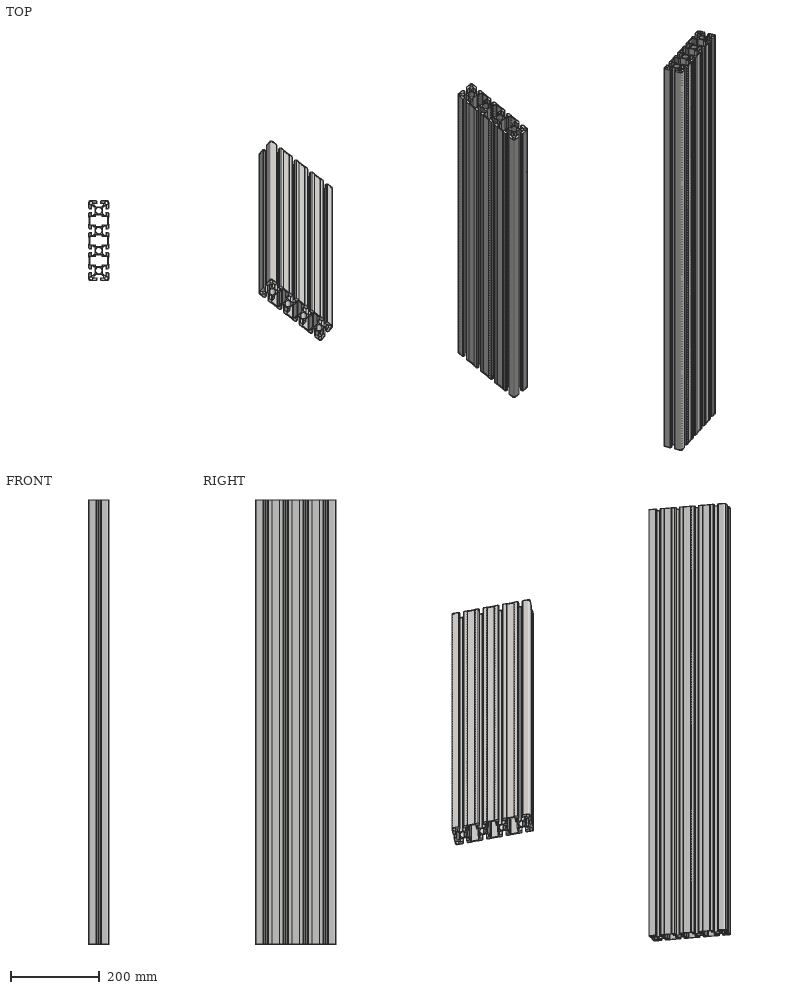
import cadquery as cq

MODULE = 45.0
MODULE_COUNT = 4
LENGTH = 1000.0
WIDTH = MODULE
HEIGHT = MODULE * MODULE_COUNT
CORNER_RADIUS = 4.0

SLOT_HALF_OPENING = 4.2
LIP_CHAMFER_WIDTH = 2.0
LIP_CHAMFER_DEPTH = 1.9
LIP_THICKNESS = 6.0
SLOT_HALF_WIDTH = 10.5
SLOT_FLOOR_CHAMFER = 3.6
CORE_HALF_WIDTH = 8.6
SLOT_DEPTH = MODULE / 2 - CORE_HALF_WIDTH
FLOOR_GROOVE_SIZE = 0.4

CORE_BORE_RADIUS = 7.2
CORNER_BORE_RADIUS = 3.5
CORNER_BORE_INSET = 5.2

CHAMBER_WIDE_X = 39.8
CHAMBER_WIDE_Y = 19.4
CHAMBER_NARROW_X = 15.4
CHAMBER_NARROW_Y = 26.4

RECESS_HALF_WIDTH = 8.5
RECESS_DEPTH = 0.5

module_centres = [MODULE * (i - (MODULE_COUNT - 1) / 2) for i in range(MODULE_COUNT)]
joint_centres = [MODULE * (i - (MODULE_COUNT - 2) / 2) for i in range(MODULE_COUNT - 1)]


def extruded_outline(points):
    return cq.Workplane("XY").polyline(points).close().extrude(LENGTH)


def on_face(cutter, angle, y):
    """Turn a cutter made for the +X face about Z, then move it along Y."""
    return cutter.rotate((0, 0, 0), (0, 0, 1), angle).translate((0, y, 0))


def make_slot():
    """T-slot in the +X face, centred on Y = 0, with a V groove along its floor."""
    face = MODULE / 2
    floor = face - SLOT_DEPTH
    upper_half = [
        (face, SLOT_HALF_OPENING + LIP_CHAMFER_WIDTH),
        (face - LIP_CHAMFER_DEPTH, SLOT_HALF_OPENING),
        (face - LIP_THICKNESS, SLOT_HALF_OPENING),
        (face - LIP_THICKNESS, SLOT_HALF_WIDTH),
        (floor + SLOT_FLOOR_CHAMFER, SLOT_HALF_WIDTH),
        (floor, SLOT_HALF_WIDTH - SLOT_FLOOR_CHAMFER),
        (floor, FLOOR_GROOVE_SIZE),
    ]
    groove_bottom = (floor - FLOOR_GROOVE_SIZE, 0)
    lower_half = [(x, -y) for x, y in reversed(upper_half)]
    return extruded_outline(upper_half + [groove_bottom] + lower_half)


def make_recess():
    """Shallow recess with 45 degree flanks in the +X face, centred on Y = 0."""
    face = MODULE / 2
    bottom_half_width = RECESS_HALF_WIDTH - RECESS_DEPTH
    return extruded_outline([
        (face, RECESS_HALF_WIDTH),
        (face - RECESS_DEPTH, bottom_half_width),
        (face - RECESS_DEPTH, -bottom_half_width),
        (face, -RECESS_HALF_WIDTH),
    ])


def cut_slots(body):
    slot = make_slot()
    for y in module_centres:
        body = body.cut(on_face(slot, 0, y)).cut(on_face(slot, 180, y))
    body = body.cut(on_face(slot, 90, module_centres[-1]))
    return body.cut(on_face(slot, -90, module_centres[0]))


def cut_recesses(body):
    recess = make_recess()
    for y in joint_centres:
        body = body.cut(on_face(recess, 0, y)).cut(on_face(recess, 180, y))
    return body


def cut_bores(body):
    core_centres = [(0, y) for y in module_centres]
    corner_x = WIDTH / 2 - CORNER_BORE_INSET
    corner_y = HEIGHT / 2 - CORNER_BORE_INSET
    corner_centres = [(sx * corner_x, sy * corner_y) for sx in (-1, 1) for sy in (-1, 1)]
    cores = cq.Workplane("XY").pushPoints(core_centres).circle(CORE_BORE_RADIUS).extrude(LENGTH)
    corners = cq.Workplane("XY").pushPoints(corner_centres).circle(CORNER_BORE_RADIUS).extrude(LENGTH)
    return body.cut(cores).cut(corners)


def cut_chambers(body):
    centres = [(0, y) for y in joint_centres]
    for size_x, size_y in ((CHAMBER_WIDE_X, CHAMBER_WIDE_Y), (CHAMBER_NARROW_X, CHAMBER_NARROW_Y)):
        body = body.cut(cq.Workplane("XY").pushPoints(centres).rect(size_x, size_y).extrude(LENGTH))
    return body


def make_profile():
    body = cq.Workplane("XY").rect(WIDTH, HEIGHT).extrude(LENGTH)
    body = body.edges("|Z").fillet(CORNER_RADIUS)
    body = cut_slots(body)
    body = cut_recesses(body)
    body = cut_bores(body)
    return cut_chambers(body)


result = make_profile()